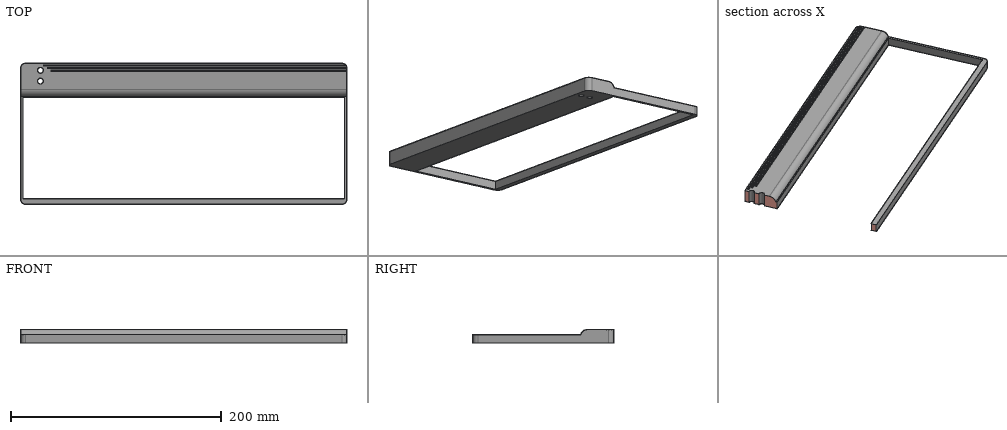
import cadquery as cq

length = 310.0
depth = 134.2
frame_height = 8.0
ridge_height = 5.0
corner_radius = 5.0
left_x = -length / 2
right_x = length / 2
front_y = -depth / 2
back_y = depth / 2
top_z = frame_height + ridge_height

side_rail = 2.5
front_rail = 5.5
back_rail = 33.0

ridge_depth = 32.0
ridge_nose_radius = 6.8

hole_diameter = 5.3
hole_x = left_x + 19.0
hole_inset = 6.8
hole_spacing = 10.2

groove_count = 3
groove_width = 1.2
groove_depth = 0.3
groove_pitch = 2.5
groove_inset = 1.5
groove_start_x = left_x + 21.7
groove_stagger = 3.7


def make_blank(height):
    """Solid plate with the rounded outline of the frame."""
    plate = cq.Workplane("XY").rect(length, depth).extrude(height)
    return plate.edges("|Z").fillet(corner_radius)


def make_ridge():
    """Bar along the back edge with a rounded front nose, trimmed to the frame outline."""
    ridge_front_y = back_y - ridge_depth
    bar = (
        cq.Workplane("XY")
        .box(length, ridge_depth, top_z, centered=False)
        .translate((left_x, ridge_front_y, 0))
    )
    bar = bar.edges(">Z and <Y").fillet(ridge_nose_radius)
    return bar.intersect(make_blank(top_z))


def make_window():
    """Cutter for the rectangular opening."""
    window_length = length - 2 * side_rail
    window_depth = depth - front_rail - back_rail
    return (
        cq.Workplane("XY")
        .box(window_length, window_depth, frame_height, centered=False)
        .translate((left_x + side_rail, front_y + front_rail, 0))
    )


def make_holes():
    """Cutter for the pair of through holes."""
    first_y = back_y - hole_inset
    points = [(hole_x, first_y), (hole_x, first_y - hole_spacing)]
    return cq.Workplane("XY").pushPoints(points).circle(hole_diameter / 2).extrude(top_z)


def make_groove(index):
    """Cutter for one V-groove with a sloped left end, counted from the back edge."""
    start_x = groove_start_x + index * groove_stagger
    centre_y = back_y - groove_inset - groove_width / 2 - index * groove_pitch
    bottom_z = top_z - groove_depth
    half_width = groove_width / 2
    v_bar = (
        cq.Workplane("YZ", origin=(start_x, centre_y, 0))
        .polyline([(-half_width, top_z), (half_width, top_z), (0, bottom_z)])
        .close()
        .extrude(right_x - start_x)
    )
    floor_start_x = start_x + half_width
    sloped_end = (
        cq.Workplane("XZ", origin=(0, centre_y, 0))
        .polyline([(start_x, top_z), (right_x, top_z), (right_x, bottom_z), (floor_start_x, bottom_z)])
        .close()
        .extrude(half_width, both=True)
    )
    return v_bar.intersect(sloped_end)


result = make_blank(frame_height).cut(make_window())
result = result.union(make_ridge())
result = result.cut(make_holes())
for groove_index in range(groove_count):
    result = result.cut(make_groove(groove_index))